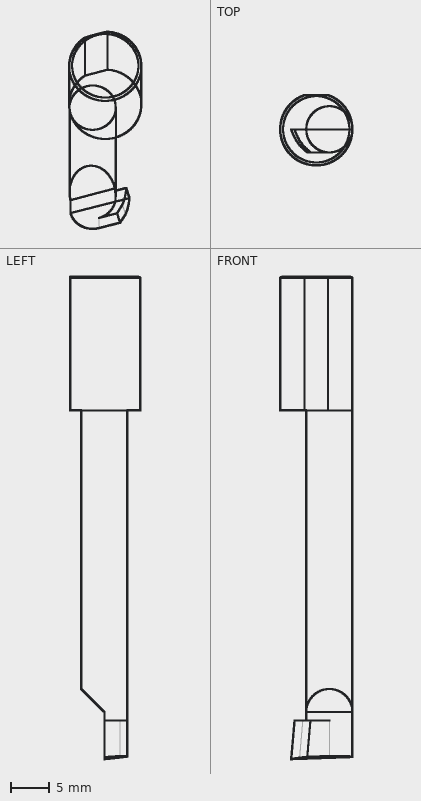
import cadquery as cq
import math


overall_length = 63.49

shank_diameter = 9.525
shank_length = 17.64
flat_depth = 0.26
chamfer_radial = 0.4
chamfer_axial = 0.2

neck_diameter = 6.08

rake_face_length = 6.2
run_out_angle = 45.0

head_length = 5.1
tip_x = -3.31
side_relief_angle = 5.0
end_relief_angle = 5.0
end_slope_angle = 2.0
flank_width = 1.1
flank_depth = 2.1
flank_bulge = 0.1
heel_width = 1.0

shank_radius = shank_diameter / 2
neck_radius = neck_diameter / 2
neck_x = shank_radius - neck_radius
shank_bottom = overall_length - shank_length
cut_margin = 2.0


def make_shank():
    shank = cq.Workplane("XY").workplane(offset=shank_bottom).circle(shank_radius).extrude(shank_length)
    shank = shank.faces(">Z").edges().chamfer(chamfer_axial, chamfer_radial)
    flat_cutter = (
        cq.Workplane("XY")
        .workplane(offset=shank_bottom)
        .center(0, shank_radius - flat_depth)
        .rect(shank_diameter, cut_margin, centered=(True, False))
        .extrude(shank_length)
    )
    return shank.cut(flat_cutter)


def make_neck():
    return cq.Workplane("XY").center(neck_x, 0).circle(neck_radius).extrude(shank_bottom)


def make_rake_cutter():
    """Removes the +Y half of the neck below the sloping run-out."""
    reach = neck_radius + cut_margin
    run_out_top = rake_face_length + reach * math.tan(math.radians(run_out_angle))
    return (
        cq.Workplane("YZ")
        .moveTo(0, -cut_margin)
        .lineTo(reach, -cut_margin)
        .lineTo(reach, run_out_top)
        .lineTo(0, rake_face_length)
        .close()
        .extrude(shank_diameter, both=True)
    )


def head_outline(workplane, edge_x):
    """Draws the head section whose cutting edge lies at X = edge_x."""
    flank_end = (edge_x + flank_width, -flank_depth)
    chord = math.hypot(flank_width, flank_depth)
    flank_middle = (
        edge_x + flank_width / 2 - flank_bulge * flank_depth / chord,
        -flank_depth / 2 - flank_bulge * flank_width / chord,
    )
    return (
        workplane.moveTo(edge_x, 0)
        .threePointArc(flank_middle, flank_end)
        .lineTo(flank_end[0] + heel_width, -neck_radius)
        .lineTo(neck_x, -neck_radius)
        .lineTo(neck_x, 0)
        .close()
    )


def make_head():
    """Lofts the head so that its side leans back from the tip at the relief angle."""
    edge_shift = head_length * math.tan(math.radians(side_relief_angle))
    tip_section = head_outline(cq.Workplane("XY"), tip_x)
    top_section = head_outline(tip_section.workplane(offset=head_length), tip_x + edge_shift)
    return top_section.loft(ruled=True)


def make_end_cutter():
    """Removes everything below the end face, which rises from the tip toward +X and -Y."""
    end_normal = (
        -math.tan(math.radians(end_slope_angle)),
        math.tan(math.radians(end_relief_angle)),
        1,
    )
    end_plane = cq.Plane(origin=(tip_x, 0, 0), xDir=(0, 1, -end_normal[1]), normal=end_normal)
    cutter_size = 4 * shank_diameter
    return cq.Workplane(end_plane).rect(cutter_size, cutter_size).extrude(-cut_margin)


neck = make_neck().cut(make_rake_cutter())
result = make_shank().union(neck).union(make_head()).cut(make_end_cutter())